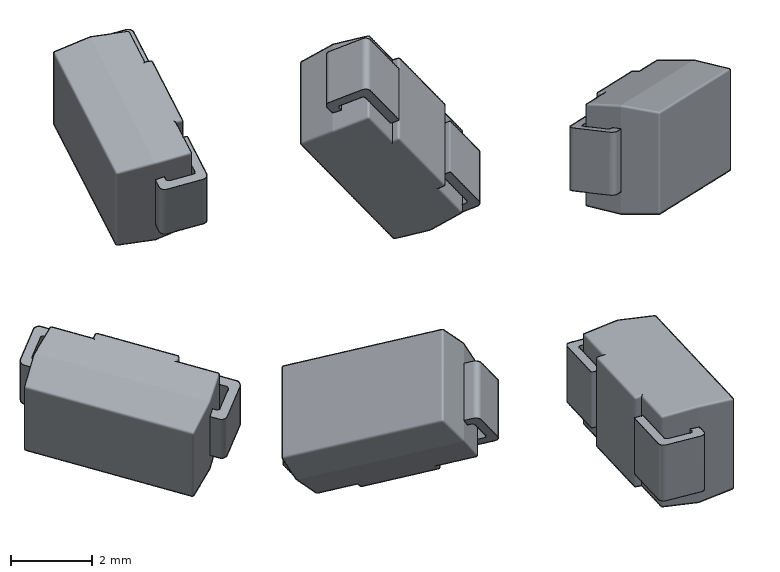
import cadquery as cq
import math

OVERALL_LENGTH = 5.4

HOUSING_LENGTH = 4.6
HOUSING_HEIGHT = 2.8
FRONT_DEPTH = 1.01
SHOULDER_DEPTH = 1.0
PEDESTAL_DEPTH = 1.19
PEDESTAL_LENGTH = 2.2
DRAFT_ANGLE = 5.0
HOUSING_FILLET = 0.06

LEAD_WIDTH = 1.615
LEAD_THICKNESS = 0.25
LEAD_ARM_LENGTH = 1.5
LEAD_OUTER_RADIUS = 0.15
LEAD_INNER_RADIUS = 0.075
LEAD_TIP_RADIUS = 0.025
LEAD_FOOT_OVERHANG = 0.005
LEAD_DEPTH = 1.255

TOLERANCE = 0.0005


def drafted_half(depth, direction):
    """Half of the housing, tapering away from the parting plane along Y."""
    plane = cq.Workplane(cq.Plane(origin=(0, 0, 0), xDir=(1, 0, 0), normal=(0, direction, 0)))
    return plane.rect(HOUSING_LENGTH, HOUSING_HEIGHT).extrude(depth, taper=DRAFT_ANGLE)


def shoulder_cutter(side):
    """Block that lowers one end of the +Y face to the shoulder."""
    cut_length = (HOUSING_LENGTH - PEDESTAL_LENGTH) / 2
    cut_depth = PEDESTAL_DEPTH - SHOULDER_DEPTH
    return cq.Workplane("XY").box(cut_length, cut_depth, HOUSING_HEIGHT).translate(
        (side * (PEDESTAL_LENGTH + cut_length) / 2, SHOULDER_DEPTH + cut_depth / 2, 0)
    )


def is_rounded(edge):
    """True for the outer edges; false for the parting line and the inner step corners."""
    middle = edge.Center()
    on_parting_plane = abs(middle.y) < TOLERANCE
    at_step_corner = (
        abs(abs(middle.x) - PEDESTAL_LENGTH / 2) < TOLERANCE
        and abs(middle.y - SHOULDER_DEPTH) < TOLERANCE
    )
    return not (on_parting_plane or at_step_corner)


def make_housing():
    body = drafted_half(FRONT_DEPTH, -1).union(drafted_half(PEDESTAL_DEPTH, 1))
    for side in (-1, 1):
        body = body.cut(shoulder_cutter(side))
    rounded_edges = [edge for edge in body.edges().vals() if is_rounded(edge)]
    return body.newObject(rounded_edges).fillet(HOUSING_FILLET)


def make_left_lead():
    """C-shaped strip: foot against the housing side, upright, and arm over the shoulder."""
    end_x = -OVERALL_LENGTH / 2
    inner_x = end_x + LEAD_THICKNESS
    tip_x = end_x + LEAD_ARM_LENGTH
    arm_inner_y = LEAD_DEPTH - LEAD_THICKNESS
    foot_outer_y = -LEAD_FOOT_OVERHANG
    foot_inner_y = foot_outer_y + LEAD_THICKNESS
    parting_x = -HOUSING_LENGTH / 2
    foot_inner_x = parting_x + foot_inner_y * math.tan(math.radians(DRAFT_ANGLE))
    strip = (
        cq.Workplane("XY", origin=(0, 0, -LEAD_WIDTH / 2))
        .moveTo(parting_x, 0)
        .lineTo(parting_x, foot_outer_y)
        .lineTo(end_x, foot_outer_y)
        .lineTo(end_x, LEAD_DEPTH)
        .lineTo(tip_x, LEAD_DEPTH)
        .lineTo(tip_x, arm_inner_y)
        .lineTo(inner_x, arm_inner_y)
        .lineTo(inner_x, foot_inner_y)
        .lineTo(foot_inner_x, foot_inner_y)
        .close()
        .extrude(LEAD_WIDTH)
    )
    strip = strip.edges("|Z and <X").fillet(LEAD_OUTER_RADIUS)
    strip = strip.edges(cq.selectors.BoxSelector(
        (inner_x - TOLERANCE, 0, -LEAD_WIDTH), (inner_x + TOLERANCE, LEAD_DEPTH, LEAD_WIDTH)
    )).edges("|Z").fillet(LEAD_INNER_RADIUS)
    return strip.edges("|Z and >X").fillet(LEAD_TIP_RADIUS)


def make_lead(side):
    lead = make_left_lead()
    return lead if side < 0 else lead.mirror("YZ")


housing = make_housing()
leads = [make_lead(side) for side in (-1, 1)]
result = cq.Compound.makeCompound([housing.val(), *[lead.val() for lead in leads]])